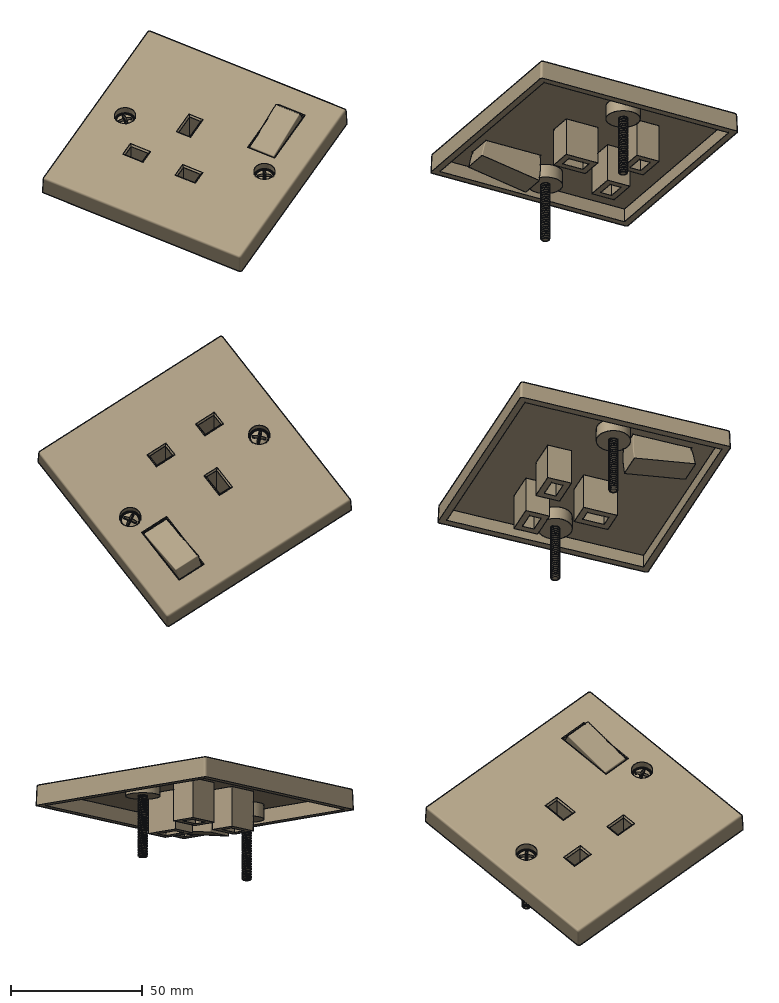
import cadquery as cq
import math

plate_size = 86.0
plate_height = 8.0
plate_inset = 0.3
plate_top_size = plate_size - 2 * plate_inset
plate_corner_radius = 0.95
plate_edge_radius = 0.9
wall = 2.5

socket_x = -5.9
pin_slot = 4.7
live_slot_length = 7.3
earth_slot_length = 8.8
live_offset_x = 11.3
live_y = -14.6
earth_y = 7.05
slot_chamfer = 0.7
tube_drop = 9.9

apertures = [
    (socket_x, earth_y, pin_slot, earth_slot_length),
    (socket_x - live_offset_x, live_y, live_slot_length, pin_slot),
    (socket_x + live_offset_x, live_y, live_slot_length, pin_slot),
]

window_x = 24.4
window_y = 20.1
window_width = 10.9
window_length = 24.0
window_chamfer = 0.35
rocker_width = 10.6
rocker_top_length = 21.4
rocker_thickness = 13.2
rocker_spread = 2.0
rocker_edge_radius = 0.35
rocker_tilt = 9.4
rocker_top_y = 19.1
rocker_top_z = 9.6

screw_x = 30.0
screw_tip_z = -23.65
head_radius = 3.6
dome_radius = 3.3
head_rim_z = 5.1
head_dome_height = 0.9
recess_radius = 4.0
shank_radius = 1.8
tip_chamfer = 0.5
thread_turns = 27
thread_depth = 0.4
groove_share = 0.9
cross_length = 5.5
cross_width = 1.2
cross_depth = 1.55
cross_draft = 15.0
cross_angles = {-screw_x: 45.0, screw_x: 30.0}

boss_radius = recess_radius + wall
cone_height = head_radius - shank_radius
cone_base_z = head_rim_z - cone_height
thread_pitch = (cone_base_z - screw_tip_z) / thread_turns


def box(x, y, size_x, size_y, bottom, top):
    """Upright block centred on (x, y) between two heights."""
    return cq.Workplane("XY", (x, y, bottom)).rect(size_x, size_y).extrude(top - bottom)


def chamfered_opening(x, y, size_x, size_y, chamfer, bottom):
    """Cutter for a rectangular through opening that widens at the plate face."""
    straight = box(x, y, size_x, size_y, bottom, plate_height)
    flare = (
        cq.Workplane("XY", (x, y, plate_height - chamfer))
        .rect(size_x, size_y)
        .workplane(offset=chamfer)
        .rect(size_x + 2 * chamfer, size_y + 2 * chamfer)
        .loft(ruled=True)
    )
    return straight.union(flare)


def make_shell():
    """Square drafted plate with rounded corners and face edge, hollow underneath."""
    draft = math.degrees(math.atan(plate_inset / plate_height))
    outer = (
        cq.Workplane("XY")
        .rect(plate_size, plate_size)
        .extrude(plate_height, taper=draft)
        .edges("not(#Z or |X or |Y)")
        .fillet(plate_corner_radius)
        .faces(">Z")
        .edges()
        .fillet(plate_edge_radius)
    )
    cavity_size = plate_top_size - 2 * wall
    return outer.cut(box(0, 0, cavity_size, cavity_size, 0, plate_height - wall))


def screw_seat(x):
    """Cutter for one screw: head recess, countersink and shank bore."""
    return (
        cq.Workplane("XZ", (x, 0, 0))
        .moveTo(0, 0)
        .lineTo(shank_radius, 0)
        .lineTo(shank_radius, cone_base_z)
        .lineTo(head_radius, head_rim_z)
        .lineTo(recess_radius, head_rim_z)
        .lineTo(recess_radius, plate_height)
        .lineTo(0, plate_height)
        .close()
        .revolve(360, (0, 0, 0), (0, 1, 0))
    )


def make_faceplate():
    """Shell with socket tubes and screw bosses, cut by every opening."""
    plate = make_shell()
    face_underside = plate_height - wall
    for x, y, size_x, size_y in apertures:
        plate = plate.union(box(x, y, size_x + 2 * wall, size_y + 2 * wall, -tube_drop, face_underside))
    for x in cross_angles:
        plate = plate.union(cq.Workplane("XY", (x, 0, 0)).circle(boss_radius).extrude(face_underside))
    for x, y, size_x, size_y in apertures:
        plate = plate.cut(chamfered_opening(x, y, size_x, size_y, slot_chamfer, -tube_drop))
    for x in cross_angles:
        plate = plate.cut(screw_seat(x))
    return plate.cut(
        chamfered_opening(window_x, window_y, window_width, window_length, window_chamfer, face_underside)
    )


def make_rocker():
    """Switch rocker, pressed down at its -Y end."""
    half_top = rocker_top_length / 2
    half_bottom = half_top + rocker_spread
    end_radius = (rocker_thickness**2 + rocker_spread**2) / (2 * rocker_spread)
    body = (
        cq.Workplane("YZ", (-rocker_width / 2, 0, 0))
        .moveTo(-half_top, 0)
        .lineTo(half_top, 0)
        .radiusArc((half_bottom, -rocker_thickness), end_radius)
        .lineTo(-half_bottom, -rocker_thickness)
        .radiusArc((-half_top, 0), end_radius)
        .close()
        .extrude(rocker_width)
        .edges("not <Z")
        .fillet(rocker_edge_radius)
    )
    tilted = body.rotate((0, 0, 0), (1, 0, 0), rocker_tilt)
    return tilted.translate((window_x, rocker_top_y, rocker_top_z))


def thread_groove():
    """V groove wound along the shank from beyond the tip up to the head cone."""
    start_z = screw_tip_z - thread_pitch
    length = cone_base_z - thread_pitch - start_z
    overshoot = 0.1
    half_mouth = groove_share * thread_pitch / 2
    path = cq.Wire.makeHelix(thread_pitch, length, shank_radius, cq.Vector(0, 0, start_z))
    return (
        cq.Workplane("XZ", (0, 0, start_z))
        .moveTo(shank_radius - thread_depth, 0)
        .lineTo(shank_radius + overshoot, half_mouth)
        .lineTo(shank_radius + overshoot, -half_mouth)
        .close()
        .sweep(cq.Workplane(path), isFrenet=True)
    )


def make_screw():
    """Raised countersunk screw on the Z axis, with a threaded shank and a cross recess."""
    dome_top_z = head_rim_z + head_dome_height
    sphere_radius = (dome_radius**2 + head_dome_height**2) / (2 * head_dome_height)
    screw = (
        cq.Workplane("XZ")
        .moveTo(0, screw_tip_z)
        .lineTo(shank_radius - tip_chamfer, screw_tip_z)
        .lineTo(shank_radius, screw_tip_z + tip_chamfer)
        .lineTo(shank_radius, cone_base_z)
        .lineTo(head_radius, head_rim_z)
        .lineTo(dome_radius, head_rim_z)
        .radiusArc((0, dome_top_z), -sphere_radius)
        .close()
        .revolve(360, (0, 0, 0), (0, 1, 0))
    )
    screw = screw.cut(thread_groove())
    arm = (
        cq.Workplane("XY", (0, 0, dome_top_z))
        .rect(cross_length, cross_width)
        .extrude(-cross_depth, taper=cross_draft)
    )
    cross = arm.union(arm.rotate((0, 0, 0), (0, 0, 1), 90))
    return screw.cut(cross)


def place_screw(screw, x, cross_angle):
    """Copy of the screw turned about its axis and moved to its hole."""
    return screw.rotate((0, 0, 0), (0, 0, 1), cross_angle).translate((x, 0, 0))


faceplate = make_faceplate()
rocker = make_rocker()
screw_blank = make_screw()
screws = [place_screw(screw_blank, x, angle) for x, angle in cross_angles.items()]

result = cq.Compound.makeCompound(
    [
        faceplate.solids().val(),
        rocker.solids().val(),
        *[screw.solids().val() for screw in screws],
    ]
)